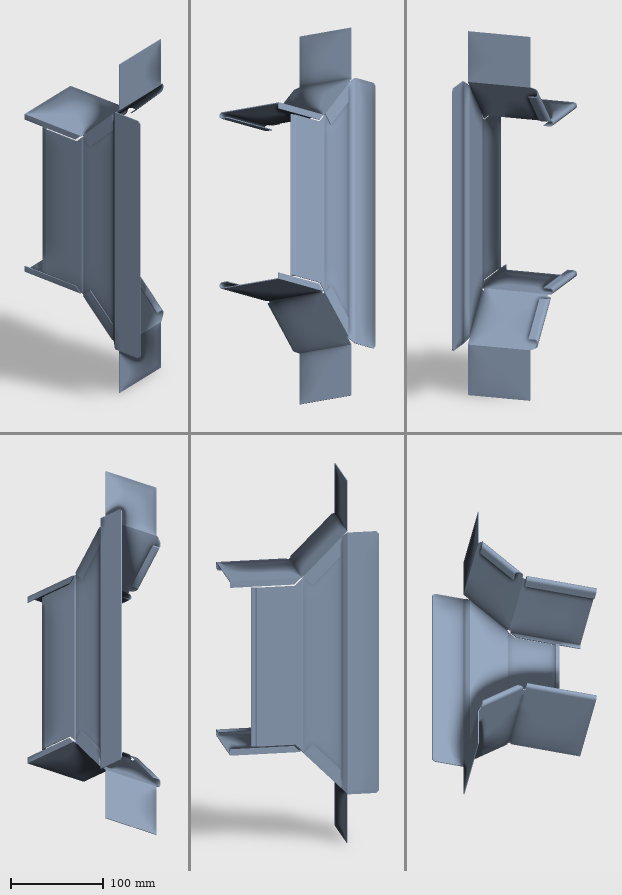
import cadquery as cq
import math


sheet = 1.0

flare_angle = 45
wall_z = 98.0
flare_start = 79.2
flare_run = 50.0
tab_tip_z = 204.0
tab_x = flare_start + flare_run
tab_root_z = wall_z + flare_run
flare_length = flare_run * math.sqrt(2)
bend_shift = sheet * math.tan(math.radians(flare_angle / 2))
web_inner_corner = (flare_start + bend_shift, wall_z - sheet)

web_back = 78.5
tab_front = 2.5
tab_back = 74.0

hem_radius = 3.5
hem_lip = 7.5

straight_flange = 7.0
flared_flange = 14.3
flared_flange_end = 121.5

straight_rim_end = 77.5
flared_rim_start = 81.0
flared_hem_end = 127.0
relief_front = 3.5
relief_back = 76.5

panel_left = 23.3
panel_right = 163.5
panel_half_height = 89.5
edge_strip_end = 28.0
edge_step_run = 1.2
fold_back_y = 3 * sheet
middle_end = 79.2
middle_step_run = 1.5
front_step_start = 123.0
front_step_end = 128.5
front_flange_y = -4.0
corner_chamfer = 3.0


def flare_z(x):
    """Z of the flared wall's outer face."""
    return wall_z + x - flare_start


def plate(outline, y_start, y_end):
    """Plate with an XZ outline, between two Y positions."""
    return cq.Workplane("XZ", origin=(0, y_start, 0)).polyline(outline).close().extrude(y_start - y_end)


def onto_flare(body):
    """Move a body built along X from the origin onto the flared wall."""
    return body.rotate((0, 0, 0), (0, 1, 0), -flare_angle).translate((flare_start, 0, wall_z))


def web():
    """Folded bracket sheet before any relief is cut."""
    outline = [
        (0, wall_z),
        (flare_start, wall_z),
        (tab_x, tab_root_z),
        (tab_x, tab_tip_z),
        (tab_x + sheet, tab_tip_z),
        (tab_x + sheet, tab_root_z - bend_shift),
        web_inner_corner,
        (0, wall_z - sheet),
    ]
    return plate(outline, 0, web_back)


def tab_reliefs():
    """Material removed in front of the tab and behind it."""
    outer_x = tab_x + 2 * sheet
    notch_z = flare_z(flared_flange_end) - 2 * sheet
    front = plate(
        [
            (flared_flange_end, notch_z),
            (outer_x, notch_z),
            (outer_x, tab_tip_z),
            (flared_flange_end, tab_tip_z),
        ],
        0,
        tab_front,
    )
    back = (
        cq.Workplane("YZ", origin=(flare_start, 0, 0))
        .polyline([
            (tab_back, tab_tip_z),
            (tab_back, tab_root_z),
            (web_back, flare_z(flared_hem_end)),
            (web_back, tab_tip_z),
        ])
        .close()
        .extrude(outer_x - flare_start)
    )
    return front.union(back)


def bend_reliefs():
    """Notches between the rims of the two walls, ending square to the flared wall."""
    floor_z = wall_z - sheet
    top_z = flare_z(flared_rim_start)
    outline = [
        (straight_rim_end, floor_z),
        (flared_rim_start + top_z - floor_z, floor_z),
        (flared_rim_start, top_z),
        (straight_rim_end, top_z),
    ]
    return plate(outline, 0, relief_front).union(plate(outline, relief_back, web_back))


def hem(length):
    """Half-round hem with a flat lip, under a wall along X whose outer face is at Z = 0."""
    inner_radius = hem_radius - sheet
    lip_end = web_back - hem_lip
    return (
        cq.Workplane("YZ")
        .moveTo(web_back, 0)
        .threePointArc((web_back + hem_radius, -hem_radius), (web_back, -2 * hem_radius))
        .lineTo(lip_end, -2 * hem_radius)
        .lineTo(lip_end, sheet - 2 * hem_radius)
        .lineTo(web_back, sheet - 2 * hem_radius)
        .threePointArc((web_back + inner_radius, -hem_radius), (web_back, -sheet))
        .close()
        .extrude(length)
    )


def flared_hem():
    """Hem of the flared wall, trimmed level at its start and upright at its end."""
    trim = plate(
        [
            (flared_rim_start, flare_z(flared_rim_start)),
            (flared_hem_end, flare_z(flared_rim_start)),
            (flared_hem_end, flare_z(flared_hem_end)),
        ],
        0,
        web_back + hem_radius,
    )
    return onto_flare(hem(flare_length)).intersect(trim)


def straight_front_flange():
    outline = [
        (0, wall_z),
        (straight_rim_end, wall_z),
        (straight_rim_end - straight_flange, wall_z - straight_flange),
        (0, wall_z - straight_flange),
    ]
    return plate(outline, 0, sheet)


def flared_front_flange():
    """Flange that starts square to the flared wall and ends upright."""
    reach = flared_flange / math.sqrt(2)
    outline = [
        (flared_rim_start, flare_z(flared_rim_start)),
        (flared_flange_end, flare_z(flared_flange_end)),
        (flared_flange_end, flare_z(flared_flange_end) - 2 * reach),
        (flared_rim_start + reach, flare_z(flared_rim_start) - reach),
    ]
    return plate(outline, 0, sheet)


def make_bracket():
    return (
        web()
        .cut(tab_reliefs())
        .cut(bend_reliefs())
        .union(hem(straight_rim_end).translate((0, 0, wall_z)))
        .union(flared_hem())
        .union(straight_front_flange())
        .union(flared_front_flange())
        .clean()
    )


def panel_section():
    """Stepped sheet in the XY plane, folded flat onto itself at its left edge."""
    fold_x = panel_left + sheet
    front_edge = [
        (edge_strip_end, sheet),
        (edge_strip_end + edge_step_run, 0),
        (middle_end, 0),
        (middle_end + middle_step_run, sheet),
        (front_step_start, sheet),
        (front_step_end, front_flange_y),
        (panel_right, front_flange_y),
    ]
    back_edge = [(x, y + sheet) for x, y in reversed(front_edge)]
    profile = cq.Workplane("XY").moveTo(fold_x, sheet)
    for x, y in front_edge + back_edge:
        profile = profile.lineTo(x, y)
    return (
        profile.lineTo(edge_strip_end, fold_back_y)
        .lineTo(fold_x, fold_back_y)
        .threePointArc((panel_left, 2 * sheet), (fold_x, sheet))
        .close()
        .extrude(tab_root_z, both=True)
    )


def panel_outline():
    """Block with the panel's XZ outline: inside the brackets, then out to the flare's outer face."""
    wall_depth_z = sheet * math.sqrt(2)
    corner_x, corner_z = web_inner_corner
    front_top = flare_z(front_step_end)
    upper = [
        (panel_left, panel_half_height),
        (corner_x - (corner_z - panel_half_height), panel_half_height),
        web_inner_corner,
        (flared_flange_end, flare_z(flared_flange_end) - wall_depth_z),
        (flared_flange_end, flare_z(flared_flange_end)),
        (front_step_end, front_top),
        (panel_right - corner_chamfer, front_top),
        (panel_right, front_top - corner_chamfer),
    ]
    lower = [(x, -z) for x, z in reversed(upper)]
    return plate(upper + lower, front_flange_y, fold_back_y)


def make_panel():
    return panel_section().intersect(panel_outline())


panel = make_panel()
bracket = make_bracket()
brackets = [bracket, bracket.mirror("XY")]

bracket_solids = [solid for copy in brackets for solid in copy.solids().vals()]
result = cq.Compound.makeCompound([*panel.solids().vals(), *bracket_solids])